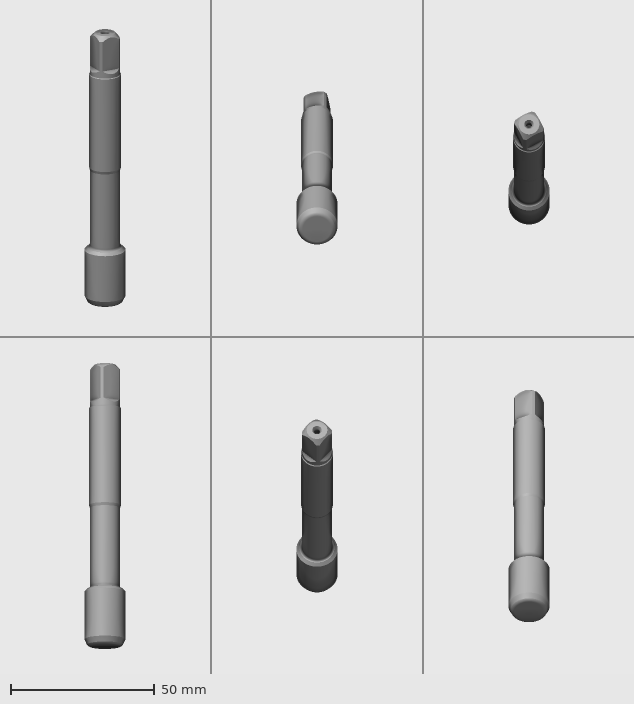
import cadquery as cq
import math

head_diameter = 14.4
tip_face_diameter = 10.0
tip_round_radius = 1.7
tip_round_height = 0.6
tip_taper_top = 2.5
head_top = 19.2

shoulder_bottom = 19.5
neck_fillet_radius = 0.8
neck_diameter = 10.6
neck_bottom = 21.3
neck_top = 49.2

shank_diameter = 11.2
shank_bottom = 50.2
shank_top = 84.6
collar_diameter = 10.6
collar_bottom = 84.8

total_length = 100.0
square_width = 8.3
square_bottom = 87.4
flat_run_out_angle = 45.0
top_face_diameter = 7.2

centre_hole_diameter = 2.0
centre_hole_depth = 4.0
countersink_diameter = 3.3
countersink_angle = 60.0
drill_point_angle = 120.0


def revolve_profile(points):
    """Revolve a closed (radius, height) outline about the Z axis."""
    return cq.Workplane("XZ").polyline(points).close().revolve(360, (0, 0, 0), (0, 1, 0))


def arc_point(centre, radius, angle):
    """Point on a circle at an angle from straight down, positive outward."""
    return (centre[0] + radius * math.sin(angle), centre[1] - radius * math.cos(angle))


def make_head():
    """Solid cutting head with a tapered, rounded tip."""
    round_centre = (tip_face_diameter / 2, tip_round_radius)
    round_end_angle = math.acos(1 - tip_round_height / tip_round_radius)
    outline = (
        cq.Workplane("XZ")
        .lineTo(tip_face_diameter / 2, 0)
        .threePointArc(
            arc_point(round_centre, tip_round_radius, round_end_angle / 2),
            arc_point(round_centre, tip_round_radius, round_end_angle),
        )
        .lineTo(head_diameter / 2, tip_taper_top)
        .lineTo(head_diameter / 2, head_top)
        .lineTo(0, head_top)
        .close()
    )
    return outline.revolve(360, (0, 0, 0), (0, 1, 0))


def make_shank_blank():
    """Round shank, with its shoulder, neck and chamfered top end."""
    top_chamfer = (collar_diameter - top_face_diameter) / 2
    fillet_centre = (neck_diameter / 2 + neck_fillet_radius, neck_bottom)
    fillet_start = arc_point(fillet_centre, neck_fillet_radius, 0)
    fillet_middle = arc_point(fillet_centre, neck_fillet_radius, -math.pi / 4)
    outline = (
        cq.Workplane("XZ")
        .moveTo(0, head_top)
        .lineTo(head_diameter / 2, head_top)
        .lineTo(head_diameter / 2, shoulder_bottom)
        .lineTo(*fillet_start)
        .threePointArc(fillet_middle, (neck_diameter / 2, neck_bottom))
        .lineTo(neck_diameter / 2, neck_top)
        .lineTo(shank_diameter / 2, shank_bottom)
        .lineTo(shank_diameter / 2, shank_top)
        .lineTo(collar_diameter / 2, collar_bottom)
        .lineTo(collar_diameter / 2, total_length - top_chamfer)
        .lineTo(top_face_diameter / 2, total_length)
        .lineTo(0, total_length)
        .close()
    )
    return outline.revolve(360, (0, 0, 0), (0, 1, 0))


def make_flat_cutter():
    """Block that cuts one drive flat, with a sloping run-out at its lower end."""
    inner = square_width / 2
    outer = shank_diameter / 2
    run_out_drop = (outer - inner) / math.tan(math.radians(flat_run_out_angle))
    return (
        cq.Workplane("XZ")
        .polyline([
            (inner, square_bottom),
            (outer, square_bottom - run_out_drop),
            (outer, total_length),
            (inner, total_length),
        ])
        .close()
        .extrude(shank_diameter / 2, both=True)
    )


def make_centre_hole():
    """Countersunk blind hole with a conical drill point."""
    hole_radius = centre_hole_diameter / 2
    sink_radius = countersink_diameter / 2
    sink_depth = (sink_radius - hole_radius) / math.tan(math.radians(countersink_angle / 2))
    point_depth = hole_radius / math.tan(math.radians(drill_point_angle / 2))
    hole_floor = total_length - centre_hole_depth
    return revolve_profile([
        (0, hole_floor - point_depth),
        (hole_radius, hole_floor),
        (hole_radius, total_length - sink_depth),
        (sink_radius, total_length),
        (0, total_length),
    ])


def make_shank():
    """Shank with four drive flats and a centre hole."""
    shank = make_shank_blank()
    for side in range(4):
        shank = shank.cut(make_flat_cutter().rotate((0, 0, 0), (0, 0, 1), 90 * side))
    return shank.cut(make_centre_hole())


head = make_head()
shank = make_shank()
result = cq.Compound.makeCompound([head.val(), shank.val()])